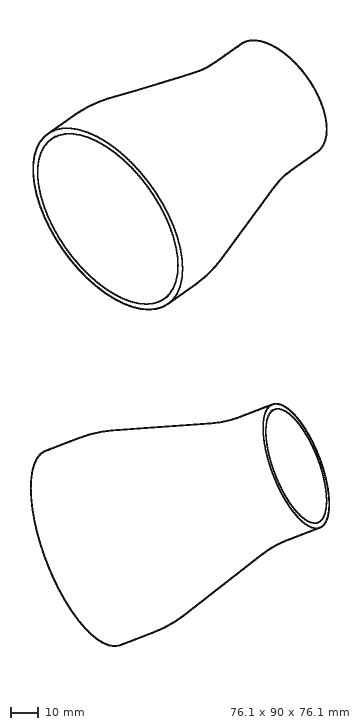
import cadquery as cq
import math

length = 90.0
large_outer_diameter = 76.1
large_inner_diameter = 71.5
small_outer_diameter = 48.3
small_inner_diameter = 44.3
collar_length = 14.0
outer_bend_radius = 45.0

large_wall = (large_outer_diameter - large_inner_diameter) / 2
small_wall = (small_outer_diameter - small_inner_diameter) / 2

large_end = -length / 2
small_end = length / 2
large_bend_start = large_end + collar_length
small_bend_start = small_end - collar_length


def bend_offset(bend_radius, angle):
    """Axial run and radial change after turning through an angle."""
    return bend_radius * math.sin(angle), bend_radius * (1 - math.cos(angle))


def reducer_solid(large_diameter, small_diameter, large_bend_radius, small_bend_radius):
    """Solid of revolution: collar, bend, cone, opposite bend, collar."""
    large_radius = large_diameter / 2
    small_radius = small_diameter / 2

    bend_radius_sum = large_bend_radius + small_bend_radius
    center_run = small_bend_start - large_bend_start
    center_rise = bend_radius_sum - (large_radius - small_radius)
    center_distance = math.hypot(center_run, center_rise)
    cone_angle = math.atan2(center_run, center_rise) - math.acos(bend_radius_sum / center_distance)

    large_half_run, large_half_drop = bend_offset(large_bend_radius, cone_angle / 2)
    large_run, large_drop = bend_offset(large_bend_radius, cone_angle)
    small_half_run, small_half_rise = bend_offset(small_bend_radius, cone_angle / 2)
    small_run, small_rise = bend_offset(small_bend_radius, cone_angle)

    profile = (
        cq.Workplane("XY")
        .moveTo(0, large_end)
        .lineTo(large_radius, large_end)
        .lineTo(large_radius, large_bend_start)
        .threePointArc(
            (large_radius - large_half_drop, large_bend_start + large_half_run),
            (large_radius - large_drop, large_bend_start + large_run),
        )
        .lineTo(small_radius + small_rise, small_bend_start - small_run)
        .threePointArc(
            (small_radius + small_half_rise, small_bend_start - small_half_run),
            (small_radius, small_bend_start),
        )
        .lineTo(small_radius, small_end)
        .lineTo(0, small_end)
        .close()
    )
    return profile.revolve(360, (0, 0, 0), (0, 1, 0))


outer_body = reducer_solid(
    large_outer_diameter, small_outer_diameter, outer_bend_radius, outer_bend_radius
)

bore = reducer_solid(
    large_inner_diameter,
    small_inner_diameter,
    outer_bend_radius - large_wall,
    outer_bend_radius + small_wall,
)

result = outer_body.cut(bore)